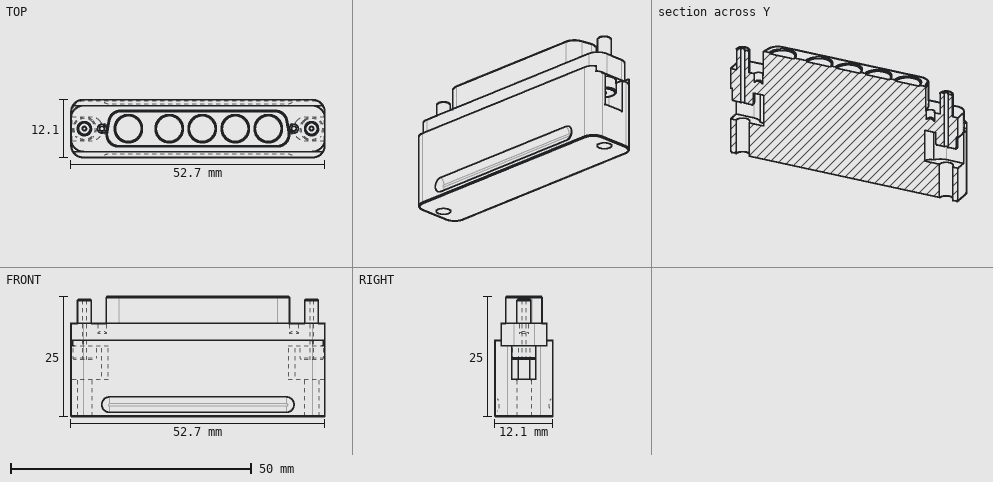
import cadquery as cq
import math

length = 52.7
hood_width = 12.06
hood_height = 15.9
corner_radius = 2.6
bottom_chamfer = 0.2

flange_width = 9.5
flange_bottom = 14.76
flange_top = 19.4

total_height = 25.02
shell_mid_half_length = 18.87
shell_half_width = 3.8
shell_side_angle = 10.0
shell_corner_radius = 2.6
shell_chamfer = 0.25
contact_pitch = 6.85
first_contact_x = -14.43
second_contact_x = -5.95
contact_row_count = 4
contact_mouth_diameter = 5.85
contact_recess_depth = 0.25

screw_x = 23.57
screw_diameter = 2.9
screw_top = 24.4
screw_head_diameter = 4.9
screw_head_bottom = 12.0
screw_chamfer = 0.25
screw_bore_diameter = 0.8

window_width = 5.0
window_floor = 7.78
window_arc_x = 22.3
access_hole_diameter = 3.0
relief_diameter = 2.4

pin_x = 19.9
pin_hole_diameter = 1.85
pin_hole_depth = 2.0
pin_tip_diameter = 1.0
pin_tip_height = (pin_hole_diameter - pin_tip_diameter) / 2

groove_height = 3.2
groove_floor_height = 0.5
groove_arc_center_x = 18.35
groove_z = 2.55
groove_wall_radius = 1.5
groove_wall_rise = (groove_height - groove_floor_height) / 2
groove_depth = groove_wall_radius - math.sqrt(groove_wall_radius**2 - groove_wall_rise**2)

ENDS = (-1, 1)


def cylinder(x, diameter, bottom, top):
    """Vertical cylinder on the middle plane of the part."""
    disc = cq.Workplane("XY", origin=(x, 0, bottom)).circle(diameter / 2)
    return disc.extrude(top - bottom)


def cone(x, bottom_diameter, top_diameter, bottom, height):
    """Vertical truncated cone on the middle plane of the part."""
    return cq.Workplane(
        obj=cq.Solid.makeCone(bottom_diameter / 2, top_diameter / 2, height, cq.Vector(x, 0, bottom))
    )


def rounded_block(width, bottom, top):
    """Full-length block with rounded vertical edges."""
    block = cq.Workplane("XY", origin=(0, 0, bottom)).rect(length, width).extrude(top - bottom)
    return block.edges("|Z").fillet(corner_radius)


def groove_cutter(side):
    """Round-ended groove whose walls curve into a narrow flat floor."""
    floor_y = hood_width / 2 - groove_depth
    slot_height = groove_floor_height + 2 * groove_wall_radius
    slot_length = 2 * groove_arc_center_x + slot_height
    cutter = (
        cq.Workplane("XZ", origin=(0, -floor_y, groove_z))
        .slot2D(slot_length, slot_height)
        .extrude(2 * groove_wall_radius)
        .faces(">Y")
        .edges()
        .fillet(groove_wall_radius)
    )
    return cutter if side < 0 else cutter.mirror("XZ")


def window_cutter(end):
    """Round-ended opening for a screw head, with its relief and the access hole below it."""
    height = flange_bottom - window_floor
    center_x = (window_arc_x + length / 2) / 2
    straight = length / 2 - window_arc_x
    opening = (
        cq.Workplane("XY", origin=(end * center_x, 0, window_floor))
        .rect(straight, window_width)
        .extrude(height)
    )
    round_end = cylinder(end * window_arc_x, window_width, window_floor, flange_bottom)
    relief = cylinder(end * pin_x, relief_diameter, window_floor, flange_bottom)
    access_hole = cylinder(end * screw_x, access_hole_diameter, 0, window_floor)
    return opening.union(round_end).union(relief).union(access_hole)


def make_hood():
    hood = rounded_block(hood_width, 0, hood_height)
    hood = hood.faces("<Z").edges().chamfer(bottom_chamfer)
    channel = (
        cq.Workplane("XY", origin=(0, 0, flange_bottom))
        .rect(length, flange_width)
        .extrude(hood_height - flange_bottom)
    )
    hood = hood.cut(channel)
    for side in ENDS:
        hood = hood.cut(groove_cutter(side))
    for end in ENDS:
        hood = hood.cut(window_cutter(end))
    return hood


def make_shell():
    """D-shaped block, wider along its -Y edge, with shallow contact recesses in its top."""
    taper = shell_half_width * math.tan(math.radians(shell_side_angle))
    wide = shell_mid_half_length + taper
    narrow = shell_mid_half_length - taper
    outline = [
        (-wide, -shell_half_width),
        (wide, -shell_half_width),
        (narrow, shell_half_width),
        (-narrow, shell_half_width),
    ]
    shell = (
        cq.Workplane("XY", origin=(0, 0, flange_top))
        .polyline(outline)
        .close()
        .extrude(total_height - flange_top)
        .edges("|Z")
        .fillet(shell_corner_radius)
        .faces(">Z")
        .edges()
        .chamfer(shell_chamfer)
    )
    contact_row = [second_contact_x + i * contact_pitch for i in range(contact_row_count)]
    floor_diameter = contact_mouth_diameter - 2 * contact_recess_depth
    recess_floor = total_height - contact_recess_depth
    for x in [first_contact_x] + contact_row:
        recess = cone(x, floor_diameter, contact_mouth_diameter, recess_floor, contact_recess_depth)
        shell = shell.cut(recess)
    return shell


def make_screw(end):
    x = end * screw_x
    head = cylinder(x, screw_head_diameter, screw_head_bottom, flange_bottom)
    head = head.faces("<Z").edges().chamfer(screw_chamfer)
    shank = cylinder(x, screw_diameter, flange_bottom, screw_top)
    shank = shank.faces(">Z").edges().chamfer(screw_chamfer)
    return head.union(shank)


def pin_hole_cutter(end):
    x = end * pin_x
    floor = flange_top - pin_hole_depth
    hole = cylinder(x, pin_hole_diameter, floor, flange_top)
    return hole.cut(cone(x, pin_hole_diameter, pin_tip_diameter, floor, pin_tip_height))


flange = rounded_block(flange_width, flange_bottom, flange_top)
for end in ENDS:
    flange = flange.cut(pin_hole_cutter(end))

result = make_hood().union(flange).union(make_shell())
for end in ENDS:
    result = result.union(make_screw(end))
    result = result.cut(cylinder(end * screw_x, screw_bore_diameter, screw_head_bottom, screw_top))